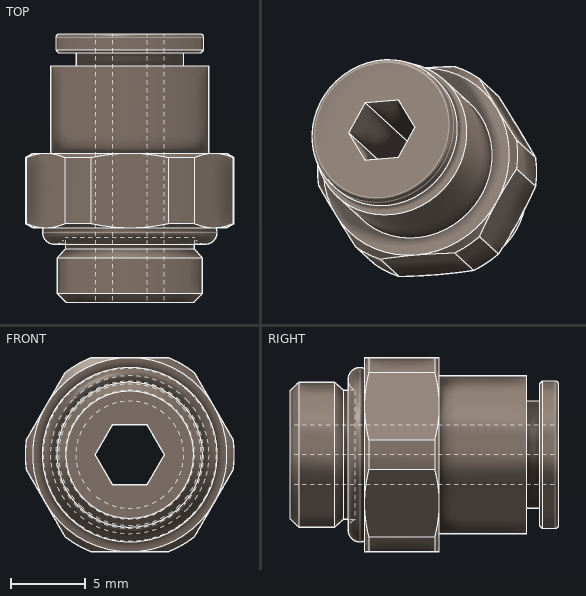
import cadquery as cq
import math


thread_end = 0.0
flare_start = 3.0
flare_end = 3.6
hex_start = 5.0
hex_end = 10.0
sleeve_end = 15.85
collar_start = 16.7
collar_end = 18.0

thread_radius = 9.728 / 2
thread_chamfer = 0.6
undercut_radius = 8.65 / 2

hex_across_flats = 13.0
hex_corner_radius = 7.0
hex_face_radius = hex_across_flats / 2
hex_bevel_angle = 30.0
hex_bevel_length = (hex_corner_radius - hex_face_radius) * math.tan(math.radians(hex_bevel_angle))

ring_outer_radius = 11.7 / 2
ring_section_radius = 0.8
ring_centre_offset = 0.3

sleeve_radius = 10.6 / 2
neck_radius = 7.2 / 2
collar_radius = 9.9 / 2
collar_fillet = 0.25
collar_chamfer = 0.2

bore_across_flats = 4.0


def cylinder(radius, start, end):
    """Solid cylinder about the Y axis between two Y positions."""
    profile = cq.Workplane("XZ", origin=(0, start, 0)).circle(radius)
    return profile.extrude(start - end)


def hex_prism(across_flats, start, end):
    """Hexagonal prism along Y with two corners on the X axis."""
    corner_diameter = across_flats / math.cos(math.pi / 6)
    profile = cq.Workplane("XZ", origin=(0, start, 0)).polygon(6, corner_diameter)
    return profile.extrude(start - end)


def revolve_profile(points):
    """Solid of revolution about Y from (radius, Y) points."""
    profile = cq.Workplane("XY").polyline(points).close()
    return profile.revolve(360, (0, 0, 0), (0, 1, 0))


def make_spigot():
    return revolve_profile([
        (0, thread_end),
        (thread_radius - thread_chamfer, thread_end),
        (thread_radius, thread_end + thread_chamfer),
        (thread_radius, flare_start),
        (undercut_radius, flare_end),
        (undercut_radius, hex_start),
        (0, hex_start),
    ])


def make_wrench_body():
    bevelled_blank = revolve_profile([
        (0, hex_start),
        (hex_face_radius, hex_start),
        (hex_corner_radius, hex_start + hex_bevel_length),
        (hex_corner_radius, hex_end - hex_bevel_length),
        (hex_face_radius, hex_end),
        (0, hex_end),
    ])
    return hex_prism(hex_across_flats, hex_start, hex_end).intersect(bevelled_blank)


def make_seal_ring():
    centre_radius = ring_outer_radius - ring_section_radius
    centre_y = hex_start - ring_centre_offset
    section = cq.Workplane("XY").center(centre_radius, centre_y).circle(ring_section_radius)
    axis_start = (-centre_radius, 0, 0)
    axis_end = (-centre_radius, 1, 0)
    return section.revolve(360, axis_start, axis_end)


def make_collar():
    collar = cylinder(collar_radius, collar_start, collar_end)
    collar = collar.faces(">Y").edges().fillet(collar_fillet)
    return collar.faces("<Y").edges().chamfer(collar_chamfer)


body = make_spigot()
body = body.union(make_wrench_body())
body = body.union(make_seal_ring())
body = body.union(cylinder(sleeve_radius, hex_end, sleeve_end))
body = body.union(cylinder(neck_radius, sleeve_end, collar_start))
body = body.union(make_collar())

result = body.cut(hex_prism(bore_across_flats, thread_end, collar_end))